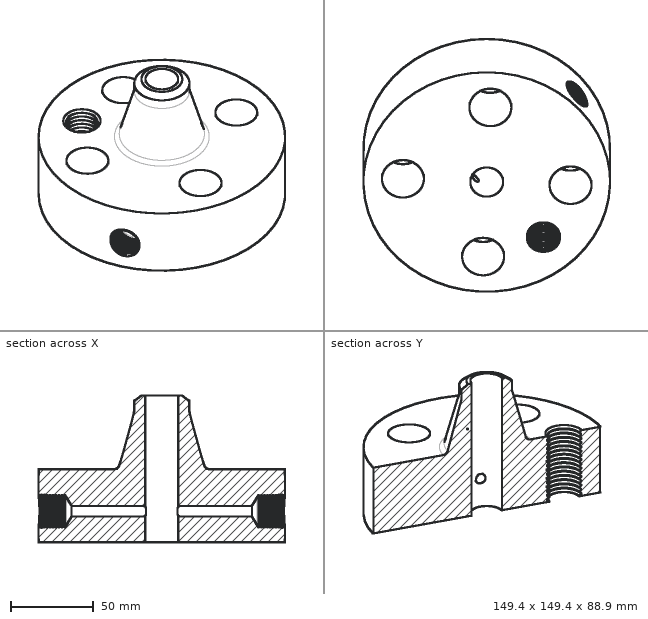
import cadquery as cq
import math

flange_radius = 74.7
flange_height = 44.4

total_height = 88.9
neck_radius = 16.7
neck_base_radius = 26.5
neck_fillet = 3.0
neck_straight_length = 6.3
weld_bevel_height = 3.1
weld_land_radius = 12.4
bore_diameter = 19.9

bolt_circle_radius = 50.8
bolt_hole_diameter = 25.4
bolt_hole_count = 4
first_bolt_angle = 45.0
jack_minor_diameter = 19.3
jack_major_diameter = 22.5
jack_pitch = 2.8

tap_height = 18.8
tap_minor_diameter = 17.6
tap_major_diameter = 20.3
tap_pitch = 1.8
tap_turns = 10
tap_taper = 1 / 16
tap_drill_point_angle = 118.0
orifice_diameter = 6.3


def flange_with_neck():
    """Revolved disc and tapered neck, filleted where they meet."""
    bevel_z = total_height - weld_bevel_height
    taper_top_z = bevel_z - neck_straight_length
    body = (
        cq.Workplane("XZ")
        .lineTo(flange_radius, 0)
        .lineTo(flange_radius, flange_height)
        .lineTo(neck_base_radius, flange_height)
        .lineTo(neck_radius, taper_top_z)
        .lineTo(neck_radius, bevel_z)
        .lineTo(weld_land_radius, total_height)
        .lineTo(0, total_height)
        .close()
        .revolve(360, (0, 0, 0), (0, 1, 0))
    )
    neck_root = cq.selectors.RadiusNthSelector(-2)
    return body.edges("%CIRCLE").edges(neck_root).fillet(neck_fillet)


def thread_outline(minor_diameter, major_diameter, pitch, turns, taper=0.0):
    """(radius, depth) points of a V thread drawn as one ring groove per turn.

    It starts on a groove root at the mouth and ends on a crest.
    """
    points = []
    for turn in range(turns):
        root_depth = turn * pitch
        crest_depth = root_depth + pitch / 2
        points.append(((major_diameter - taper * root_depth) / 2, root_depth))
        points.append(((minor_diameter - taper * crest_depth) / 2, crest_depth))
    return points


def revolved_cutter(outline):
    """Solid of revolution about Z from (radius, depth) points, with its mouth at Z = 0."""
    end_depth = outline[-1][1]
    profile = cq.Workplane("XZ").polyline([(0, 0), *outline, (0, end_depth)]).close()
    return profile.revolve(360, (0, 0, 0), (0, 1, 0))


def jack_screw_cutter():
    """Straight thread that runs right through the flange."""
    turns = math.ceil(flange_height / jack_pitch) + 1
    return revolved_cutter(thread_outline(jack_minor_diameter, jack_major_diameter, jack_pitch, turns))


def pressure_tap_cutter():
    """Tapered thread ending in a drill point, then an orifice that reaches the bore."""
    outline = thread_outline(tap_minor_diameter, tap_major_diameter, tap_pitch, tap_turns, tap_taper)
    drill_radius, thread_depth = outline[-1]
    orifice_radius = orifice_diameter / 2
    half_point_angle = math.radians(tap_drill_point_angle / 2)
    point_length = (drill_radius - orifice_radius) / math.tan(half_point_angle)
    outline.append((orifice_radius, thread_depth + point_length))
    outline.append((orifice_radius, flange_radius))
    return revolved_cutter(outline)


result = flange_with_neck()

result = result.cut(cq.Workplane("XY").circle(bore_diameter / 2).extrude(total_height))

bolt_holes = (
    cq.Workplane("XY")
    .polarArray(bolt_circle_radius, first_bolt_angle, 360, bolt_hole_count)
    .circle(bolt_hole_diameter / 2)
    .extrude(flange_height)
)
result = result.cut(bolt_holes)

downward = jack_screw_cutter().rotate((0, 0, 0), (1, 0, 0), 180)
result = result.cut(downward.translate((-bolt_circle_radius, 0, flange_height)))

inward = pressure_tap_cutter().rotate((0, 0, 0), (1, 0, 0), -90)
front_tap = inward.translate((0, -flange_radius, tap_height))
for turn_angle in (0, 180):
    result = result.cut(front_tap.rotate((0, 0, 0), (0, 0, 1), turn_angle))